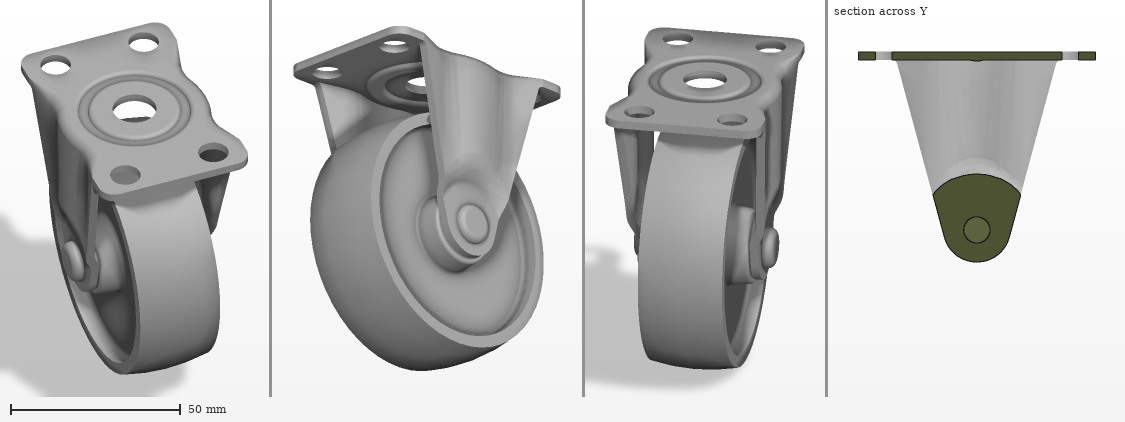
import cadquery as cq
import math


def fillet_setback(radius, turn):
    """Distance from a corner to its fillet's tangent point, given the turn made at the corner."""
    return radius * math.tan(turn / 2)



WHEEL_DIAMETER = 75.0
WHEEL_RADIUS = WHEEL_DIAMETER / 2
TREAD_WIDTH = 25.4
TREAD_EDGE_RADIUS = 36.1
RIM_INNER_RADIUS = 32.6
WEB_RECESS = 4.95
WEB_FILLET = 1.35
HUB_LENGTH = 30.6
HUB_TIP_RADIUS = 11.1
HUB_BASE_RADIUS = 11.8
HUB_EDGE_FILLET = 1.0
HUB_ROOT_FILLET = 1.0

PIN_RADIUS = 4.0
PIN_HEAD_RADIUS = 6.0
FRONT_HEAD_HEIGHT = 3.15
BACK_HEAD_HEIGHT = 2.2
FRONT_HEAD_FILLET = 2.1
BACK_HEAD_FILLET = 1.9

TOTAL_HEIGHT = 90
SHEET = 2.5
PLATE_TOP = TOTAL_HEIGHT - WHEEL_RADIUS
PLATE_BOTTOM = PLATE_TOP - SHEET
PLATE_LENGTH = 70.0
PLATE_WIDTH = 47.0
PLATE_CORNER = 4.8
BEND_RADIUS = 3.1
BEND_END_RADIUS = 0.02

MOUNT_SPACING_X = 55.0
MOUNT_SPACING_Y = 28.0
MOUNT_HOLE_RADIUS = 4.5
CENTRE_HOLE_RADIUS = 6.5
RING_DEPTH = 1.2
RING_OUTER_RADIUS = 17.9
RING_INNER_RADIUS = 12.2
RING_FILLET = 1.5

LEG_SIDE_ANGLE = math.radians(15.1)
FOOT_RADIUS = 10.0
FOOT_CENTRE_Z = 0.45
LEG_ROOT_FILLET = 1.5
LEG_TOP_X = (
    FOOT_RADIUS / math.cos(LEG_SIDE_ANGLE) + (PLATE_BOTTOM - FOOT_CENTRE_Z) * math.tan(LEG_SIDE_ANGLE)
)
LEG_ROOT_SETBACK = fillet_setback(LEG_ROOT_FILLET, math.pi / 2 - LEG_SIDE_ANGLE)

FLANK_ANGLE = math.radians(13.7)
FLANK_START_X = LEG_TOP_X + LEG_ROOT_SETBACK
FLANK_END_X = 15.1
FLANK_END_Y = PLATE_WIDTH / 2 - (FLANK_START_X - FLANK_END_X) * math.tan(FLANK_ANGLE)
VALLEY_OUTER_X = 12.6
VALLEY_INNER_X = 11.3
VALLEY_Y = FLANK_END_Y - (FLANK_END_X - VALLEY_OUTER_X) * math.tan(FLANK_ANGLE / 2)
CROWN_EDGE_X = 7.9
CROWN_Y = 22.7
CROWN_NARROWING = 1.0
CROWN_LEAN = 0.4

FOOT_INNER_Y = 15.8
FOOT_OUTER_Y = FOOT_INNER_Y + SHEET
DISH_ANGLE = math.radians(35)
DISH_OUTER_RADIUS = 13.0
DISH_INNER_RADIUS = DISH_OUTER_RADIUS + fillet_setback(SHEET, DISH_ANGLE)
DISH_FOOT_FILLET = 2.0
DISH_TOP_FILLET = 7.7


def turned_about_axle(profile):
    """Solid turned about the Y axis from a closed (radius, y) profile."""
    return profile.revolve(360, (0, 0, 0), (0, 1, 0))


def make_wheel():
    half_tread = TREAD_WIDTH / 2
    half_hub = HUB_LENGTH / 2
    half_web = half_tread - WEB_RECESS
    hub_draft = math.atan2(HUB_BASE_RADIUS - HUB_TIP_RADIUS, half_hub - half_web)
    root_setback = fillet_setback(HUB_ROOT_FILLET, math.pi / 2 - hub_draft)
    root_radius = HUB_BASE_RADIUS - root_setback * math.sin(hub_draft)
    tread = turned_about_axle(
        cq.Workplane("XY")
        .moveTo(0, -half_tread)
        .lineTo(TREAD_EDGE_RADIUS, -half_tread)
        .threePointArc((WHEEL_RADIUS, 0), (TREAD_EDGE_RADIUS, half_tread))
        .lineTo(0, half_tread)
        .close()
    )
    recess = turned_about_axle(
        cq.Workplane("XY")
        .moveTo(HUB_TIP_RADIUS, half_hub)
        .lineTo(root_radius, half_web + root_setback * math.cos(hub_draft))
        .tangentArcPoint((HUB_BASE_RADIUS + root_setback, half_web), relative=False)
        .lineTo(RIM_INNER_RADIUS - WEB_FILLET, half_web)
        .radiusArc((RIM_INNER_RADIUS, half_web + WEB_FILLET), -WEB_FILLET)
        .lineTo(RIM_INNER_RADIUS, half_hub)
        .close()
    )
    hub = turned_about_axle(
        cq.Workplane("XY")
        .moveTo(0, -half_hub)
        .lineTo(HUB_TIP_RADIUS, -half_hub)
        .lineTo(HUB_BASE_RADIUS, -half_web)
        .lineTo(HUB_BASE_RADIUS, half_web)
        .lineTo(HUB_TIP_RADIUS, half_hub)
        .lineTo(0, half_hub)
        .close()
    )
    hub = hub.faces("<Y or >Y").edges().fillet(HUB_EDGE_FILLET)
    bore = cq.Workplane("XZ", origin=(0, half_hub, 0)).circle(PIN_RADIUS).extrude(HUB_LENGTH)
    return tread.cut(recess).cut(recess.mirror("XZ")).union(hub).cut(bore)


def make_pin():
    shaft = (
        cq.Workplane("XZ", origin=(0, FOOT_OUTER_Y, 0)).circle(PIN_RADIUS).extrude(2 * FOOT_OUTER_Y)
    )
    front_head = (
        cq.Workplane("XZ", origin=(0, -FOOT_OUTER_Y, 0))
        .circle(PIN_HEAD_RADIUS)
        .extrude(FRONT_HEAD_HEIGHT)
        .edges("<Y")
        .fillet(FRONT_HEAD_FILLET)
    )
    back_head = (
        cq.Workplane("XZ", origin=(0, FOOT_OUTER_Y, 0))
        .circle(PIN_HEAD_RADIUS)
        .extrude(-BACK_HEAD_HEIGHT)
        .edges(">Y")
        .fillet(BACK_HEAD_FILLET)
    )
    return shaft.union(front_head).union(back_head)


def follow_wave(path, valley_inner_x=VALLEY_INNER_X, crown_edge_x=CROWN_EDGE_X, crown_y=CROWN_Y):
    """Continue a path from the end of one flank over valley, crown and valley to the other flank."""
    crown_turn = 2 * math.atan((crown_y - VALLEY_Y) / valley_inner_x)
    crown_edge_y = crown_y - crown_edge_x * math.tan(crown_turn / 2)
    return (
        path.tangentArcPoint((VALLEY_OUTER_X, VALLEY_Y), relative=False)
        .lineTo(valley_inner_x, VALLEY_Y)
        .tangentArcPoint((crown_edge_x, crown_edge_y), relative=False)
        .tangentArcPoint((-crown_edge_x, crown_edge_y), relative=False)
        .tangentArcPoint((-valley_inner_x, VALLEY_Y), relative=False)
        .lineTo(-VALLEY_OUTER_X, VALLEY_Y)
        .tangentArcPoint((-FLANK_END_X, FLANK_END_Y), relative=False)
    )


def plate_outline(level=PLATE_TOP, narrowing=0, lean=0):
    """Outline of the plate with its wavy sides, one side drawn and mirrored."""
    half_length = PLATE_LENGTH / 2
    half_width = PLATE_WIDTH / 2
    path = (
        cq.Workplane("XY", origin=(0, 0, level))
        .moveTo(half_length, 0)
        .lineTo(half_length, half_width - PLATE_CORNER)
        .radiusArc((half_length - PLATE_CORNER, half_width), -PLATE_CORNER)
        .lineTo(FLANK_START_X, half_width)
        .lineTo(FLANK_END_X, FLANK_END_Y)
    )
    return (
        follow_wave(path, VALLEY_INNER_X - narrowing, CROWN_EDGE_X - narrowing, CROWN_Y - lean)
        .lineTo(-FLANK_START_X, half_width)
        .lineTo(PLATE_CORNER - half_length, half_width)
        .radiusArc((-half_length, half_width - PLATE_CORNER), -PLATE_CORNER)
        .lineTo(-half_length, 0)
        .mirrorX()
    )


def wavy_block(inset):
    """Block as deep as the legs, with the wavy outline and its crown narrowing downward."""
    bottom = FOOT_CENTRE_Z - FOOT_RADIUS
    upper = plate_outline()
    lower = plate_outline(bottom, CROWN_NARROWING, CROWN_LEAN)
    if inset:
        upper = upper.offset2D(-inset)
        lower = lower.offset2D(-inset)
    return cq.Workplane(cq.Solid.makeLoft([lower.val(), upper.val()], True))


def dish_space(dish_radius, foot_y, foot_fillet):
    """Space between the two feet, opening outward as a cone around each foot."""
    setback = fillet_setback(foot_fillet, DISH_ANGLE)
    cone_start = (dish_radius + setback * math.cos(DISH_ANGLE), foot_y + setback * math.sin(DISH_ANGLE))
    reach = TOTAL_HEIGHT
    half = turned_about_axle(
        cq.Workplane("XY")
        .lineTo(0, foot_y)
        .lineTo(dish_radius - setback, foot_y)
        .tangentArcPoint(cone_start, relative=False)
        .lineTo(reach, foot_y + (reach - dish_radius) * math.tan(DISH_ANGLE))
        .lineTo(reach, 0)
        .close()
    )
    return half.union(half.mirror("XZ"))


def dished_block(block, dish, crease_fillet):
    """Wavy block narrowed to the feet by the dish, with the creases between them rounded."""
    dished = block.intersect(dish)
    for side in (1, -1):
        crease = cq.selectors.BoxSelector(
            (-VALLEY_INNER_X, side * (VALLEY_Y - SHEET), FOOT_RADIUS),
            (VALLEY_INNER_X, side * CROWN_Y, PLATE_TOP / 2),
        )
        dished = dished.edges(crease).fillet(crease_fillet)
    return dished


def leg_outline():
    """Tapered leg outline with a round foot and flared roots, cut through the full width."""
    side_x = FOOT_RADIUS * math.cos(LEG_SIDE_ANGLE)
    side_z = FOOT_CENTRE_Z - FOOT_RADIUS * math.sin(LEG_SIDE_ANGLE)
    root_x = LEG_TOP_X - LEG_ROOT_SETBACK * math.sin(LEG_SIDE_ANGLE)
    root_z = PLATE_BOTTOM - LEG_ROOT_SETBACK * math.cos(LEG_SIDE_ANGLE)
    return (
        cq.Workplane("XZ", origin=(0, PLATE_WIDTH / 2, 0))
        .moveTo(-side_x, side_z)
        .threePointArc((0, FOOT_CENTRE_Z - FOOT_RADIUS), (side_x, side_z))
        .lineTo(root_x, root_z)
        .tangentArcPoint((FLANK_START_X, PLATE_BOTTOM), relative=False)
        .lineTo(-FLANK_START_X, PLATE_BOTTOM)
        .radiusArc((-root_x, root_z), LEG_ROOT_FILLET)
        .close()
        .extrude(PLATE_WIDTH)
    )


def bend_corner(workplane, radius):
    """Sharp corner left outside a bend: local x points into the plate, local y up."""
    on_arc = radius * (1 - math.sqrt(0.5))
    return (
        workplane.lineTo(radius, 0)
        .threePointArc((on_arc, -on_arc), (0, -radius))
        .close()
    )


def bend_waste():
    """Waste outside the bend: constant along the wave, dying out to nothing along the flank."""
    flank_plane = cq.Plane(
        origin=(FLANK_END_X, FLANK_END_Y, PLATE_TOP),
        xDir=(math.sin(FLANK_ANGLE), -math.cos(FLANK_ANGLE), 0),
        normal=(-math.cos(FLANK_ANGLE), -math.sin(FLANK_ANGLE), 0),
    )
    flank_length = (FLANK_START_X - FLANK_END_X) / math.cos(FLANK_ANGLE)
    flank_end = bend_corner(cq.Workplane(flank_plane), BEND_RADIUS).workplane(offset=-flank_length)
    flank_waste = bend_corner(flank_end, BEND_END_RADIUS).loft(ruled=True)
    wave_start = (
        cq.Workplane("XY", origin=(0, 0, PLATE_TOP))
        .moveTo(FLANK_START_X, PLATE_WIDTH / 2)
        .lineTo(FLANK_END_X, FLANK_END_Y, forConstruction=True)
    )
    wave_waste = bend_corner(cq.Workplane(flank_plane), BEND_RADIUS).sweep(follow_wave(wave_start))
    one_side = [wave_waste, flank_waste, flank_waste.mirror("YZ")]
    return one_side + [piece.mirror("XZ") for piece in one_side]


def pressed_ring(top, wall_arc):
    """Flat ring below a level, with rounded walls: bulging into it (positive arc) or out of it."""
    floor = top - RING_DEPTH
    wall_width = math.sqrt(RING_FILLET**2 - (RING_FILLET - RING_DEPTH) ** 2)
    return (
        cq.Workplane("XZ")
        .moveTo(RING_INNER_RADIUS, top)
        .radiusArc((RING_INNER_RADIUS + wall_width, floor), wall_arc)
        .lineTo(RING_OUTER_RADIUS - wall_width, floor)
        .radiusArc((RING_OUTER_RADIUS, top), wall_arc)
        .close()
        .revolve(360, (0, 0, 0), (0, 1, 0))
    )


def make_bracket():
    outer_dish = dish_space(DISH_OUTER_RADIUS, FOOT_OUTER_Y, DISH_FOOT_FILLET)
    inner_dish = dish_space(DISH_INNER_RADIUS, FOOT_INNER_Y, DISH_FOOT_FILLET + SHEET)
    outside = dished_block(wavy_block(0), outer_dish, DISH_TOP_FILLET)
    inside = dished_block(wavy_block(SHEET), inner_dish, DISH_TOP_FILLET - SHEET)
    legs = leg_outline().intersect(outside).cut(inside)

    bracket = plate_outline().extrude(-SHEET).union(legs)
    for waste in bend_waste():
        bracket = bracket.cut(waste)

    bead = pressed_ring(PLATE_BOTTOM, -RING_FILLET)
    groove = pressed_ring(PLATE_TOP, RING_FILLET)
    bracket = bracket.union(bead).cut(groove)
    mount_holes = (
        cq.Workplane("XY", origin=(0, 0, PLATE_TOP))
        .rect(MOUNT_SPACING_X, MOUNT_SPACING_Y, forConstruction=True)
        .vertices()
        .circle(MOUNT_HOLE_RADIUS)
        .extrude(-SHEET)
    )
    centre_hole = cq.Workplane("XY", origin=(0, 0, PLATE_TOP)).circle(CENTRE_HOLE_RADIUS).extrude(-SHEET)
    axle_hole = cq.Workplane("XZ", origin=(0, FOOT_OUTER_Y, 0)).circle(PIN_RADIUS).extrude(2 * FOOT_OUTER_Y)
    return bracket.cut(mount_holes).cut(centre_hole).cut(axle_hole)


wheel = make_wheel()
pin = make_pin()
bracket = make_bracket()
result = cq.Compound.makeCompound(
    [wheel.solids().val(), pin.solids().val(), bracket.solids().val()]
)